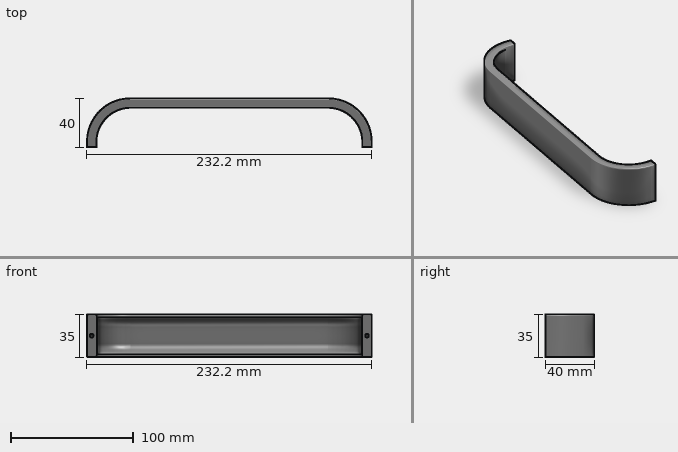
import cadquery as cq
import math

length = 232.2
reach = 40.0
height = 35.0

bar_thickness = 8.0
bend_radius = 35.5
leg_straight = reach - bend_radius
edge_radius = 1.2

hollow_depth = 6.0
hollow_opening = 30.0
hollow_floor = 13.2
end_wall_thickness = 8.4

hole_diameter = 3.0
hole_depth = 10.0
drill_point_angle = 118


def bow_path(inset):
    """Open plan path of the bow from foot to foot, moved inward by inset."""
    half = length / 2 - inset
    top = reach - inset
    diagonal = (bend_radius - inset) * math.sqrt(0.5)
    bend_x = length / 2 - bend_radius
    return (
        cq.Workplane("XY")
        .moveTo(-half, 0)
        .lineTo(-half, leg_straight)
        .threePointArc((-bend_x - diagonal, leg_straight + diagonal), (-bend_x, top))
        .lineTo(bend_x, top)
        .threePointArc((bend_x + diagonal, leg_straight + diagonal), (half, leg_straight))
        .lineTo(half, 0)
    )


def make_bar():
    """Curved bar with its long edges rounded; the feet stay flat and sharp."""
    outer = bow_path(0).close().extrude(height / 2, both=True)
    inner = bow_path(bar_thickness).close().extrude(height / 2, both=True)
    bar = outer.cut(inner)
    return bar.faces("|Z").edges("not <Y").fillet(edge_radius)


def make_hollow():
    """Round-cornered trough following the bow, ended by a flat wall at each leg."""
    half_opening = hollow_opening / 2
    half_floor = hollow_floor / 2

    side_width = half_opening - half_floor
    side_radius = (side_width**2 + hollow_depth**2) / (2 * hollow_depth)
    half_angle = math.atan2(hollow_depth, side_width)
    mid_z = half_floor + side_radius * math.sin(half_angle)
    mid_depth = hollow_depth - side_radius * (1 - math.cos(half_angle))

    profile_plane = cq.Plane(
        origin=(-length / 2 + bar_thickness, 0, 0), xDir=(1, 0, 0), normal=(0, 1, 0)
    )
    hollow = (
        cq.Workplane(profile_plane)
        .moveTo(0, -half_opening)
        .threePointArc((-mid_depth, -mid_z), (-hollow_depth, -half_floor))
        .lineTo(-hollow_depth, half_floor)
        .threePointArc((-mid_depth, mid_z), (0, half_opening))
        .lineTo(edge_radius, half_opening)
        .lineTo(edge_radius, -half_opening)
        .close()
        .sweep(bow_path(bar_thickness))
    )
    between_walls = cq.Workplane("XY").box(
        length - 2 * end_wall_thickness, 2 * reach, height
    )
    return hollow.intersect(between_walls)


def make_screw_holes():
    """One drilled hole with a conical end, centred in each foot and running up the leg."""
    hole_x = (length - bar_thickness) / 2
    hole_radius = hole_diameter / 2
    tip_length = hole_radius / math.tan(math.radians(drill_point_angle / 2))
    hole = (
        cq.Workplane("XY")
        .lineTo(hole_radius, 0)
        .lineTo(hole_radius, hole_depth)
        .lineTo(0, hole_depth + tip_length)
        .close()
        .revolve(360, (0, 0), (0, 1))
    )
    return hole.translate((-hole_x, 0, 0)).union(hole.translate((hole_x, 0, 0)))


result = make_bar().cut(make_hollow()).cut(make_screw_holes())